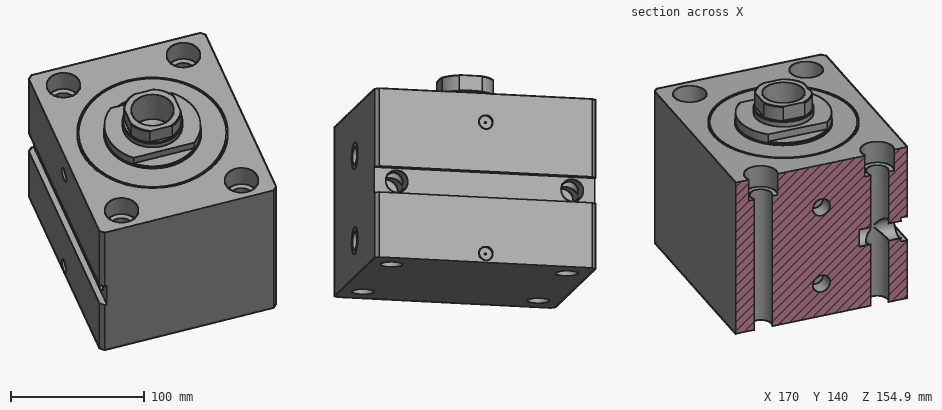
import cadquery as cq

LENGTH = 170.0
WIDTH = 140.0
HEIGHT = 129.9
EDGE_CHAMFER = 3.0

BOLT_DIAMETER = 17.0
BOLT_HEAD_DIAMETER = 25.3
BOLT_HEAD_DEPTH = 17.8
BOLT_SPACING_X = 135.0
BOLT_SPACING_Y = 95.0

KEYWAY_HEIGHT = 20.0
KEYWAY_DEPTH = 5.0
KEYWAY_BOTTOM = 50.0
CROSS_HOLE_DEPTH = 34.0

PORT_DIAMETER = 13.8
PORT_DEPTH = 25.5
PORT_FACE_DIAMETER = 20.5
PORT_FACE_DEPTH = 0.2
PORT_HEIGHTS = (27.9, 93.2)

VENT_DIAMETER = 10.5
VENT_DEPTH = 2.0
VENT_HEIGHTS = (7.0, 108.0)

PILOT_DIAMETER = 1.0
PILOT_DEPTH = 3.4

GLAND_DIAMETER = 113.2
GLAND_THICKNESS = 30.0
GLAND_CHAMFER = 1.4
LIP_BASE_DIAMETER = 73.5
LIP_TOP_DIAMETER = 72.5
LIP_HEIGHT = 0.8

ROD_DIAMETER = 72.0
SHANK_TOP = 8.2
FLATS_WIDTH = 53.5
FLATS_BOTTOM = 2.0
COLLAR_DIAMETER = 45.2
COLLAR_HEIGHT = 4.8
COLLAR_CHAMFER = 0.7
END_DIAMETER = 43.2
END_SQUARE = 39.5
END_HEIGHT = 12.0
END_CHAMFER = 0.5
BORE_DIAMETER = 32.0
BORE_DEPTH = 27.2
BORE_POINT_DEPTH = 9.2

UNDERSIDE = -HEIGHT
LEFT_FACE = -LENGTH / 2
FRONT_FACE = -WIDTH / 2
COLLAR_TOP = SHANK_TOP + COLLAR_HEIGHT
ROD_TOP = COLLAR_TOP + END_HEIGHT


def cylinder_along(start, direction, diameter, depth):
    """Solid cylinder that runs from a start point along a direction."""
    return cq.Solid.makeCylinder(diameter / 2, depth, cq.Vector(*start), cq.Vector(*direction))


def piloted_hole(block, start, direction, diameter, depth):
    """Flat-bottomed blind hole with a small pilot drilling in its floor."""
    hole = cylinder_along(start, direction, diameter, depth)
    pilot = cylinder_along(start, direction, PILOT_DIAMETER, depth + PILOT_DEPTH)
    return block.cut(hole).cut(pilot)


def cut_mounting_holes(block):
    return (
        block.faces(">Z").workplane(origin=(0, 0, 0))
        .rect(BOLT_SPACING_X, BOLT_SPACING_Y, forConstruction=True)
        .vertices()
        .cboreHole(BOLT_DIAMETER, BOLT_HEAD_DIAMETER, BOLT_HEAD_DEPTH)
    )


def cut_keyway(block):
    floor_y = FRONT_FACE + KEYWAY_DEPTH
    bottom_z = UNDERSIDE + KEYWAY_BOTTOM
    slot = cq.Workplane("XY").box(LENGTH, KEYWAY_DEPTH, KEYWAY_HEIGHT, centered=(True, False, False))
    block = block.cut(slot.translate((0, FRONT_FACE, bottom_z)))
    for side in (-1, 1):
        start = (side * BOLT_SPACING_X / 2, floor_y, bottom_z + KEYWAY_HEIGHT / 2)
        block = block.cut(cylinder_along(start, (0, 1, 0), BOLT_DIAMETER, CROSS_HOLE_DEPTH))
    return block


def cut_ports(block):
    for height in PORT_HEIGHTS:
        start = (LEFT_FACE, 0, UNDERSIDE + height)
        block = block.cut(cylinder_along(start, (1, 0, 0), PORT_FACE_DIAMETER, PORT_FACE_DEPTH))
        block = piloted_hole(block, start, (1, 0, 0), PORT_DIAMETER, PORT_DEPTH)
    return block


def cut_vents(block):
    for height in VENT_HEIGHTS:
        start = (0, FRONT_FACE, UNDERSIDE + height)
        block = piloted_hole(block, start, (0, 1, 0), VENT_DIAMETER, VENT_DEPTH)
    return block


def make_housing():
    block = cq.Workplane("XY").box(LENGTH, WIDTH, HEIGHT, centered=(True, True, False))
    block = block.translate((0, 0, UNDERSIDE)).edges("|Z").chamfer(EDGE_CHAMFER)
    block = cut_mounting_holes(block)
    block = cut_keyway(block)
    block = cut_ports(block)
    block = cut_vents(block)
    gland_seat = cylinder_along((0, 0, 0), (0, 0, -1), GLAND_DIAMETER, GLAND_THICKNESS)
    return block.cut(gland_seat)


def make_gland():
    """Ring with a chamfered outer edge and a tapered wiper lip round the rod."""
    bore_radius = ROD_DIAMETER / 2
    outer_radius = GLAND_DIAMETER / 2
    return (
        cq.Workplane("XZ")
        .moveTo(bore_radius, -GLAND_THICKNESS)
        .lineTo(outer_radius, -GLAND_THICKNESS)
        .lineTo(outer_radius, -GLAND_CHAMFER)
        .lineTo(outer_radius - GLAND_CHAMFER, 0)
        .lineTo(LIP_BASE_DIAMETER / 2, 0)
        .lineTo(LIP_TOP_DIAMETER / 2, LIP_HEIGHT)
        .lineTo(bore_radius, LIP_HEIGHT)
        .close()
        .revolve(360, (0, 0, 0), (0, 1, 0))
    )


def make_shank():
    """Round shank with two wrench flats facing -X and +X."""
    round_part = cq.Workplane("XY", origin=(0, 0, -GLAND_THICKNESS)).circle(ROD_DIAMETER / 2)
    round_part = round_part.extrude(GLAND_THICKNESS + FLATS_BOTTOM)
    wrench_height = SHANK_TOP - FLATS_BOTTOM
    wrench_part = cq.Workplane("XY", origin=(0, 0, FLATS_BOTTOM)).circle(ROD_DIAMETER / 2)
    wrench_part = wrench_part.extrude(wrench_height)
    flats = cq.Workplane("XY").box(FLATS_WIDTH, ROD_DIAMETER, wrench_height, centered=(True, True, False))
    return round_part.union(wrench_part.intersect(flats.translate((0, 0, FLATS_BOTTOM))))


def make_squared_end():
    """Round end with a chamfered rim and four flats."""
    end = cq.Workplane("XY", origin=(0, 0, COLLAR_TOP)).circle(END_DIAMETER / 2).extrude(END_HEIGHT)
    end = end.faces(">Z").chamfer(END_CHAMFER)
    square = cq.Workplane("XY", origin=(0, 0, COLLAR_TOP)).rect(END_SQUARE, END_SQUARE)
    return end.intersect(square.extrude(END_HEIGHT))


def make_rod():
    collar = cq.Workplane("XY", origin=(0, 0, SHANK_TOP)).circle(COLLAR_DIAMETER / 2)
    collar = collar.extrude(COLLAR_HEIGHT).faces(">Z").chamfer(COLLAR_CHAMFER)
    rod = make_shank().union(collar).union(make_squared_end())
    bore_floor = ROD_TOP - BORE_DEPTH
    bore = (
        cq.Workplane("XZ")
        .moveTo(0, bore_floor - BORE_POINT_DEPTH)
        .lineTo(BORE_DIAMETER / 2, bore_floor)
        .lineTo(BORE_DIAMETER / 2, ROD_TOP)
        .lineTo(0, ROD_TOP)
        .close()
        .revolve(360, (0, 0, 0), (0, 1, 0))
    )
    return rod.cut(bore)


housing = make_housing()
gland = make_gland()
rod = make_rod()

result = cq.Compound.makeCompound([body.solids().val() for body in (housing, gland, rod)])